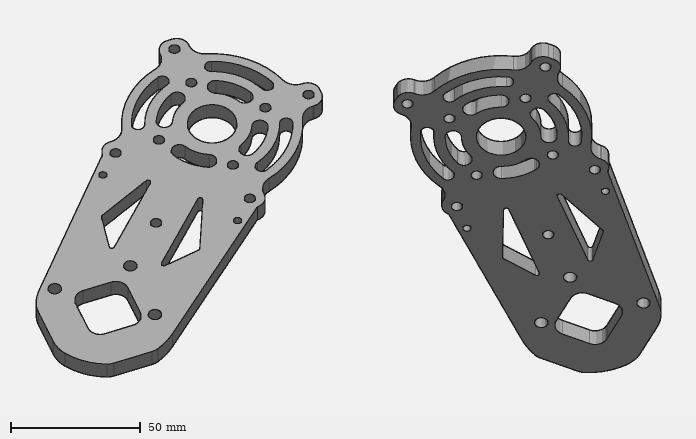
import cadquery as cq
import math

thickness = 8.0

hub_radius = 35.0
lug_reach = 45.0
lug_width = 12.0
lug_corner_radius = 5.0
lug_neck_radius = 6.4

bore_diameter = 19.0
screw_diameter = 4.3
inner_screw_radius = 22.0
outer_screw_radius = 40.0
inner_slot_radius = 18.5
inner_slot_width = 6.3
inner_slot_half_angle = 19.5
outer_slot_radius = 28.6
outer_slot_width = 5.1
outer_slot_half_angle = 24.2

arm_right = 142.2 - lug_reach
arm_bottom = lug_reach - 141.5
arm_shoulder = 1.1
arm_end_offset = 70.8
arm_end_centre = (arm_end_offset, -arm_end_offset)
arm_end_radius = 28.0
right_flat_blend = 7.1
bottom_flat_blend = 13.5

pin_diameter = 3.1
pin_position = (48.5, -8.4)
centre_hole_offset = 38.1
motor_hole_diameter = 5.1
motor_hole_left = 54.5
motor_hole_right = 80.5
motor_hole_upper = -55.2
motor_hole_lower = -86.5
window_width = 23.0
window_height = 21.6
window_corner_radius = 5.0
triangle_points = [(29.0, -15.0), (56.6, -27.3), (59.7, -45.6)]
triangle_corner_radius = 1.0


def mirrored(point):
    """Reflect a point across the arm's centre line y = -x."""
    return (-point[1], -point[0])


def polar(radius, angle):
    """Offset at a radius and an angle in degrees; from the origin, a point around the hub centre."""
    return (radius * math.cos(math.radians(angle)), radius * math.sin(math.radians(angle)))


def hub():
    ring = cq.Workplane("XY").circle(hub_radius).extrude(thickness)
    for length, width in [(2 * lug_reach, lug_width), (lug_width, 2 * lug_reach)]:
        bar = cq.Workplane("XY").rect(length, width).extrude(thickness)
        ring = ring.union(bar.edges("|Z").fillet(lug_corner_radius))
    reach = (hub_radius + outer_screw_radius) / 2
    necks = cq.selectors.BoxSelector((-reach, -reach, 0), (reach, reach, thickness))
    return ring.edges("|Z").edges(necks).fillet(lug_neck_radius)


def end_point(angle):
    """Point on the round arm end at an angle in degrees around its centre."""
    dx, dy = polar(arm_end_radius, angle)
    return (arm_end_centre[0] + dx, arm_end_centre[1] + dy)


def arm():
    shoulder = (lug_reach, arm_shoulder)
    dx = shoulder[0] - arm_end_centre[0]
    dy = shoulder[1] - arm_end_centre[1]
    tangent_angle = math.atan2(dy, dx) - math.acos(arm_end_radius / math.hypot(dx, dy))
    upper_touch = end_point(math.degrees(tangent_angle))
    blank = (
        cq.Workplane("XY")
        .lineTo(*shoulder)
        .lineTo(*upper_touch)
        .threePointArc(end_point(-45), mirrored(upper_touch))
        .lineTo(*mirrored(shoulder))
        .close()
        .extrude(thickness)
    )
    limits = cq.Workplane("XY").rect(2 * arm_right, 2 * -arm_bottom).extrude(thickness)
    trimmed = blank.intersect(limits)
    trimmed = trimmed.edges("|Z").edges(">X").fillet(right_flat_blend)
    return trimmed.edges("|Z").edges("<Y").fillet(bottom_flat_blend)


def holes(points, diameter):
    return cq.Workplane("XY").pushPoints(points).circle(diameter / 2).extrude(thickness)


def arc_slot(radius, width, middle_angle, half_angle):
    """Round-ended slot following an arc around the hub centre."""
    start = middle_angle - half_angle
    end = middle_angle + half_angle
    inner = radius - width / 2
    outer = radius + width / 2
    return (
        cq.Workplane("XY")
        .moveTo(*polar(inner, start))
        .threePointArc(polar(inner, middle_angle), polar(inner, end))
        .tangentArcPoint(polar(outer, end), relative=False)
        .threePointArc(polar(outer, middle_angle), polar(outer, start))
        .tangentArcPoint(polar(inner, start), relative=False)
        .close()
        .extrude(thickness)
    )


def triangle(points):
    prism = cq.Workplane("XY").polyline(points).close().extrude(thickness)
    return prism.edges("|Z").fillet(triangle_corner_radius)


def window():
    outline = cq.Workplane("XY").center(*arm_end_centre).rect(window_width, window_height)
    return outline.extrude(thickness).edges("|Z").fillet(window_corner_radius)


lug_angles = [0, 90, 180, 270]
screw_points = [polar(r, a) for r in (inner_screw_radius, outer_screw_radius) for a in lug_angles]
screw_points.append((centre_hole_offset, -centre_hole_offset))
motor_points = [
    (motor_hole_left, motor_hole_upper),
    (motor_hole_right, motor_hole_upper),
    (motor_hole_left, motor_hole_lower),
]

cutouts = [
    holes([(0, 0)], bore_diameter),
    holes(screw_points, screw_diameter),
    holes([pin_position, mirrored(pin_position)], pin_diameter),
    holes(motor_points, motor_hole_diameter),
    window(),
    triangle(triangle_points),
    triangle([mirrored(p) for p in triangle_points]),
]
for angle in (45, 135, 225, 315):
    cutouts.append(arc_slot(inner_slot_radius, inner_slot_width, angle, inner_slot_half_angle))
for angle in (45, 135, 225):
    cutouts.append(arc_slot(outer_slot_radius, outer_slot_width, angle, outer_slot_half_angle))

result = hub().union(arm())
for cutout in cutouts:
    result = result.cut(cutout)